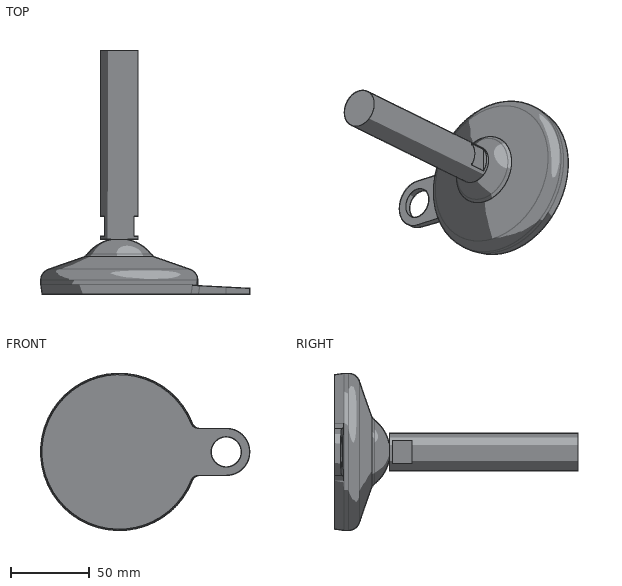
import math

import cadquery as cq

total_height = 155.0

base_radius = 50.0
sole_radius = 49.1
taper_top = 6.2
rim_top = 9.0
shoulder_radius = 7.4
cone_angle = 19.2
cone_top = 24.0

dome_edge = 25.7
dome_edge_radius = 20.3
dome_top = 35.5

shaft_diameter = 24.0
shaft_bottom = 35.0
across_flats = 19.0
flats_bottom = 37.0
flats_top = 49.5

lug_radius = 15.0
lug_hole_diameter = 19.0
lug_center_x = 68.0
lug_root_radius = 5.0
lug_tip_height = 3.9
lug_slope = 3.0


def make_base():
    """Revolve the base and dome profile about the Y axis."""
    slope = math.radians(cone_angle)
    shoulder_x = base_radius - shoulder_radius

    def on_shoulder(angle):
        return (
            shoulder_x + shoulder_radius * math.cos(angle),
            rim_top + shoulder_radius * math.sin(angle),
        )

    shoulder_sweep = math.pi / 2 - slope
    cone_start = on_shoulder(shoulder_sweep)
    cone_end_radius = cone_start[0] - (cone_top - cone_start[1]) / math.tan(slope)

    dome_rise = dome_top - dome_edge
    dome_radius = (dome_edge_radius**2 + dome_rise**2) / (2 * dome_rise)
    dome_half_angle = math.asin(dome_edge_radius / dome_radius) / 2
    dome_middle = (
        dome_radius * math.sin(dome_half_angle),
        dome_top - dome_radius * (1 - math.cos(dome_half_angle)),
    )

    profile = (
        cq.Workplane("XY")
        .lineTo(sole_radius, 0)
        .lineTo(base_radius, taper_top)
        .lineTo(base_radius, rim_top)
        .threePointArc(on_shoulder(shoulder_sweep / 2), cone_start)
        .lineTo(cone_end_radius, cone_top)
        .lineTo(dome_edge_radius, dome_edge)
        .threePointArc(dome_middle, (0, dome_top))
        .close()
    )
    return profile.revolve(360, (0, 0, 0), (0, 1, 0))


def make_shaft():
    """Plain round shaft rising from the dome."""
    return (
        cq.Workplane("XZ", origin=(0, shaft_bottom, 0))
        .circle(shaft_diameter / 2)
        .extrude(shaft_bottom - total_height)
    )


def cut_flats(body):
    """Cut two wrench flats, facing -X and +X, above the shaft's lower rim."""
    radius = shaft_diameter / 2
    depth = radius - across_flats / 2
    middle_y = (flats_top + flats_bottom) / 2
    for side in (-1, 1):
        cutter = (
            cq.Workplane("XY", origin=(side * (radius - depth / 2), middle_y, 0))
            .box(depth, flats_top - flats_bottom, shaft_diameter)
        )
        body = body.cut(cutter)
    return body


def make_lug():
    """Round-ended lug reaching out from the base axis, its top face falling towards the tip."""
    tip_x = lug_center_x + lug_radius
    axis_height = lug_tip_height + tip_x * math.tan(math.radians(lug_slope))
    outline = (
        cq.Workplane("XZ")
        .moveTo(0, -lug_radius)
        .lineTo(lug_center_x, -lug_radius)
        .threePointArc((tip_x, 0), (lug_center_x, lug_radius))
        .lineTo(0, lug_radius)
        .close()
        .extrude(-axis_height)
    )
    wedge = (
        cq.Workplane("XY")
        .polyline([(0, 0), (tip_x, 0), (tip_x, lug_tip_height), (0, axis_height)])
        .close()
        .extrude(lug_radius, both=True)
    )
    return outline.intersect(wedge)


def round_lug_root(body):
    """Round the two upright corners where the lug's sides meet the tapered rim."""
    rim_x = math.sqrt(base_radius**2 - lug_radius**2)
    corner_y = taper_top / 2
    corners = [
        body.edges(cq.NearestToPointSelector((rim_x, corner_y, side * lug_radius))).val()
        for side in (-1, 1)
    ]
    return body.newObject(corners).fillet(lug_root_radius)


def cut_lug_hole(body):
    """Drill the round hole through the lug."""
    hole = (
        cq.Workplane("XZ")
        .center(lug_center_x, 0)
        .circle(lug_hole_diameter / 2)
        .extrude(-rim_top)
    )
    return body.cut(hole)


foot = round_lug_root(make_base().union(make_lug())).union(make_shaft())
result = cut_lug_hole(cut_flats(foot))